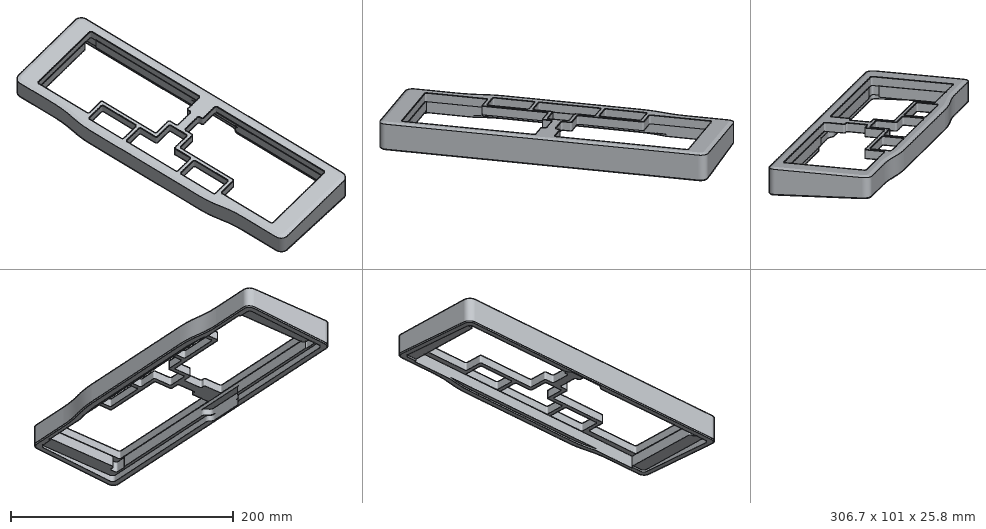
import cadquery as cq
import math

length = 306.7
depth = 100.96
height = 25.79
corner_radius = 7.0
bottom_tilt = 3.0
bevel_height = 1.0
bevel_angle = 75.0
bottom_chamfer = 1.0

key = 19.05
clearance = 0.4
key_field_back = -9.8
key_field_half = 7 * key
bottom_row_drop = 3.25 * key
opening_radius = 1.5
opening_chamfer = 0.4

bulge = key / 4
bulge_start = 107.5
bulge_end = 62.4

plate_thickness = 8.5
rim_wall = 6.0
rim_radius = 3.5
recess_ceiling = 6.7
plate_lip = 0.5

notch_center = 7.4
notch_mouth = 48.0
notch_end = 8.7
notch_floor = -2.3
upper_notch_mouth = 52.0
upper_notch_ceiling = 13.3

pocket_inner = 127.8
pocket_outer = 140.0
pocket_back = -8.0
pocket_front = -15.7
pocket_radius = 2.0

half_length = length / 2
side_front = bulge - depth
plate_bottom = height - plate_thickness
board_half = key_field_half + clearance + plate_lip
board_back = key_field_back + clearance + plate_lip
bottom_row_back = key_field_back - bottom_row_drop
bottom_row_front = bottom_row_back - key
board_front = bottom_row_front - clearance - plate_lip


def s_curve(profile, start, end):
    """Add two equal tangent arcs; both ends of the S run parallel to X."""
    run = end[0] - start[0]
    rise = end[1] - start[1]
    sweep = 2 * math.atan(abs(rise / run))
    radius = abs(run) / 2 / math.sin(sweep)
    step_x = math.copysign(radius * math.sin(sweep / 2), run)
    step_y = math.copysign(radius * (1 - math.cos(sweep / 2)), rise)
    middle = ((start[0] + end[0]) / 2, (start[1] + end[1]) / 2)
    profile = profile.threePointArc((start[0] + step_x, start[1] + step_y), middle)
    return profile.threePointArc((end[0] - step_x, end[1] - step_y), end)


def case_outline(inset):
    """Case outline with sharp corners, moved inwards by the inset."""
    side = half_length - inset
    outer_front = side_front + inset
    middle_front = inset - depth
    profile = (
        cq.Workplane("XY")
        .moveTo(-side, -inset)
        .lineTo(-side, outer_front)
        .lineTo(-bulge_start, outer_front)
    )
    profile = s_curve(profile, (-bulge_start, outer_front), (-bulge_end, middle_front))
    profile = profile.lineTo(bulge_end, middle_front)
    profile = s_curve(profile, (bulge_end, middle_front), (bulge_start, outer_front))
    return profile.lineTo(side, outer_front).lineTo(side, -inset).close()


def rounded_block(inset, radius, top):
    """Extruded outline whose four outer corners are rounded."""
    block = case_outline(inset).extrude(top)
    for face in ("<X", ">X"):
        block = block.faces(face).edges("|Z").fillet(radius)
    return block


def case_body():
    """Solid case: bevelled top, tilted and chamfered bottom."""
    tilt = math.radians(bottom_tilt)
    lift = bottom_chamfer * math.sin(tilt)
    block = rounded_block(0, corner_radius, height + lift).translate((0, 0, -lift))
    reach = 2 * depth
    drop = reach * math.tan(tilt)
    wedge = (
        cq.Workplane("YZ")
        .polyline([(0, -lift), (-reach, drop - lift), (-reach, -lift)])
        .close()
        .extrude(length, both=True)
    )
    block = block.cut(wedge)
    bevel_width = bevel_height * math.tan(math.radians(bevel_angle))
    block = block.faces(">Z").chamfer(bevel_height, bevel_width)
    tilt_normal = cq.Vector(0, -math.sin(tilt), -math.cos(tilt))
    return block.faces(cq.selectors.DirectionMinMaxSelector(tilt_normal)).chamfer(bottom_chamfer)


def main_opening(side):
    """Stepped opening for the key block on one side (-1 left, 1 right)."""
    outer = key_field_half + clearance
    back = key_field_back + clearance
    row_2_back = key_field_back - key + clearance
    row_2_front = key_field_back - 2 * key - clearance
    row_3_front = row_2_front - key
    row_4_front = row_3_front - key
    top_inner = key / 2 - clearance
    row_2_inner = key / 4 - clearance
    row_3_inner = 0.75 * key - clearance
    row_4_inner = 4 * key - clearance
    points = [
        (outer, back),
        (top_inner, back),
        (top_inner, row_2_back),
        (row_2_inner, row_2_back),
        (row_2_inner, row_2_front),
        (row_3_inner, row_2_front),
        (row_3_inner, row_3_front),
        (row_4_inner, row_3_front),
        (row_4_inner, row_4_front),
        (outer, row_4_front),
    ]
    return [(side * x, y) for x, y in points]


def middle_opening():
    """Opening for the middle of the bottom row with one key above it."""
    wide = 1.5 * key + clearance
    narrow = key / 2 + clearance
    front = bottom_row_front - clearance
    shoulder = bottom_row_back + clearance
    back = shoulder + key
    right = [(wide, front), (wide, shoulder), (narrow, shoulder), (narrow, back)]
    return right + [(-x, y) for x, y in reversed(right)]


def side_opening(side):
    """Rectangular two-key opening of the bottom row."""
    inner = side * (1.75 * key - clearance)
    outer = side * (3.75 * key + clearance)
    front = bottom_row_front - clearance
    back = bottom_row_back + clearance
    return [(inner, front), (inner, back), (outer, back), (outer, front)]


def opening_cutter(points):
    """Prism that flares out at the top surface to chamfer the opening."""
    prism = cq.Workplane("XY").polyline(points).close().extrude(height - opening_chamfer)
    prism = prism.edges("|Z").fillet(opening_radius)
    flare = prism.faces(">Z").wires().toPending().extrude(opening_chamfer, taper=-45, combine=False)
    return prism.union(flare)


def corner_pocket(side):
    """Relief pocket at a back corner of the circuit board cavity."""
    width = pocket_outer - pocket_inner
    return (
        cq.Workplane("XY")
        .center(side * (pocket_inner + pocket_outer) / 2, (pocket_back + pocket_front) / 2)
        .rect(width, pocket_back - pocket_front)
        .extrude(plate_bottom)
        .edges("|Z")
        .fillet(pocket_radius)
    )


def board_cavity():
    """Circuit board cavity under the key plate, with its corner pockets."""
    cavity = (
        cq.Workplane("XY")
        .moveTo(-board_half, board_back)
        .lineTo(board_half, board_back)
        .lineTo(board_half, board_front)
        .lineTo(-board_half, board_front)
        .close()
        .extrude(plate_bottom)
    )
    for side in (-1, 1):
        cavity = cavity.union(corner_pocket(side))
        mouth = (side * board_half, pocket_front, plate_bottom / 2)
        cavity = cavity.edges(cq.selectors.NearestToPointSelector(mouth)).fillet(pocket_radius)
    return cavity


def cable_notch(mouth, wall_y, bottom, ceiling):
    """Pocket cut into a back wall at the given y, with S-shaped ends."""
    left = notch_center - mouth / 2
    right = notch_center + mouth / 2
    inside = wall_y - rim_wall
    profile = cq.Workplane("XY").workplane(offset=bottom).moveTo(left, inside).lineTo(left, wall_y)
    profile = s_curve(profile, (left, wall_y), (left + notch_end, notch_floor))
    profile = profile.lineTo(right - notch_end, notch_floor)
    profile = s_curve(profile, (right - notch_end, notch_floor), (right, wall_y))
    return profile.lineTo(right, inside).close().extrude(ceiling - bottom)


result = case_body()
result = result.cut(rounded_block(rim_wall, rim_radius, recess_ceiling))
result = result.cut(board_cavity())
result = result.cut(cable_notch(notch_mouth, -rim_wall, 0, recess_ceiling))
result = result.cut(cable_notch(upper_notch_mouth, board_back, recess_ceiling, upper_notch_ceiling))
for side in (-1, 1):
    result = result.cut(opening_cutter(main_opening(side)))
    result = result.cut(opening_cutter(side_opening(side)))
result = result.cut(opening_cutter(middle_opening()))